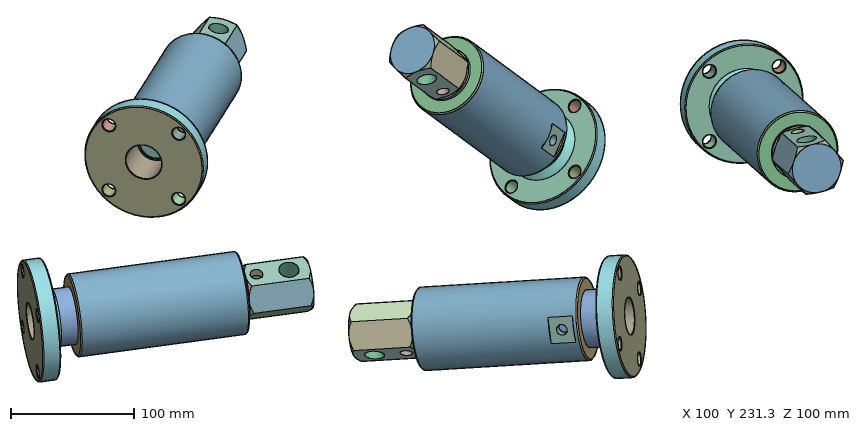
import cadquery as cq
import math

TOTAL_LENGTH = 231.3

FLANGE_RADIUS = 50.0
FLANGE_THICKNESS = 15.0
FLANGE_CHAMFER = 1.0
SLEEVE_RADIUS = 23.5
CONE_SIZE = 6.0
BORE_RADIUS = 15.0
BORE_CHAMFER = 0.5
BOLT_OFFSET = 29.4
BOLT_HOLE_RADIUS = 5.3
BOLT_HOLE_CHAMFER = 0.58

HOUSING_RADIUS = 34.0
HOUSING_START = 35.0
HOUSING_LENGTH = 140.2
HOUSING_END = HOUSING_START + HOUSING_LENGTH
HOUSING_CHAMFER = 1.2
FLAT_ANGLE = 207
FLAT_DISTANCE = 32.2
FLAT_LENGTH = 20.5
FLAT_CENTER = 49.3
FLAT_HOLE_RADIUS = 4.5

COLLAR_RADIUS = 22.2
COLLAR_LENGTH = 18.5
COLLAR_END = 177.6
COLLAR_START = COLLAR_END - COLLAR_LENGTH

ROD_RADIUS = 13.9
ROD_CHAMFER = 1.0
ROD_START = HOUSING_START
ROD_END = 199.0

HEX_SIDES = 6
HEX_FLATS = 41.0
HEX_CORNER_RADIUS = HEX_FLATS / math.sqrt(3)
HEX_END_RADIUS = HEX_FLATS / 2
HEX_TURN = -10
HEX_HOLE_ANGLE = HEX_TURN + 90
TOMMY_HOLE_RADIUS = 8.0
TOMMY_HOLE_CENTER = 214.0
PIN_HOLE_RADIUS = 5.0
PIN_HOLE_CENTER = 187.1


def turned(points):
    """Solid turned about Y from a closed outline of (radius, y) points."""
    return cq.Workplane("XY").polyline(points).close().revolve(360, (0, 0, 0), (0, 1, 0))


def turned_bar(radius, start, end, chamfer_start=0.0, chamfer_end=0.0):
    """Round bar along Y whose end edges may be chamfered at 45 degrees."""
    bar = turned([(0, start), (radius, start), (radius, end), (0, end)])
    if chamfer_start:
        bar = bar.faces("<Y").chamfer(chamfer_start)
    if chamfer_end:
        bar = bar.faces(">Y").chamfer(chamfer_end)
    return bar


def radial_direction(angle):
    """Unit vector square to Y, turned from +X towards +Z."""
    turn = math.radians(angle)
    return cq.Vector(math.cos(turn), 0, math.sin(turn))


def cross_hole(radius, y, angle):
    """Cutter for a hole through the axis, longer than any body is wide."""
    direction = radial_direction(angle)
    start = cq.Vector(0, y, 0) - direction * FLANGE_RADIUS
    return cq.Workplane(cq.Solid.makeCylinder(radius, 2 * FLANGE_RADIUS, start, direction))


def bolt_hole(x, z):
    """Cutter for a hole through the flange, chamfered at both faces."""
    mouth = BOLT_HOLE_RADIUS + BOLT_HOLE_CHAMFER
    hole = turned([
        (0, 0),
        (mouth, 0),
        (BOLT_HOLE_RADIUS, BOLT_HOLE_CHAMFER),
        (BOLT_HOLE_RADIUS, FLANGE_THICKNESS - BOLT_HOLE_CHAMFER),
        (mouth, FLANGE_THICKNESS),
        (0, FLANGE_THICKNESS),
    ])
    return hole.translate((x, 0, z))


def make_flange():
    """Bolting flange with a cone and a long sleeve that runs inside the housing."""
    disc = turned_bar(FLANGE_RADIUS, 0, FLANGE_THICKNESS, FLANGE_CHAMFER, FLANGE_CHAMFER)
    sleeve = turned([
        (0, 0),
        (SLEEVE_RADIUS + CONE_SIZE, 0),
        (SLEEVE_RADIUS + CONE_SIZE, FLANGE_THICKNESS),
        (SLEEVE_RADIUS, FLANGE_THICKNESS + CONE_SIZE),
        (SLEEVE_RADIUS, COLLAR_START),
        (0, COLLAR_START),
    ])
    bore = turned([
        (0, 0),
        (BORE_RADIUS + BORE_CHAMFER, 0),
        (BORE_RADIUS, BORE_CHAMFER),
        (BORE_RADIUS, COLLAR_START),
        (0, COLLAR_START),
    ])
    flange = disc.union(sleeve).cut(bore)
    for x in (-BOLT_OFFSET, BOLT_OFFSET):
        for z in (-BOLT_OFFSET, BOLT_OFFSET):
            flange = flange.cut(bolt_hole(x, z))
    return flange


def make_guide_bush():
    """Thin bush that fills the gap between the rod and the sleeve bore."""
    bush = turned_bar(BORE_RADIUS, ROD_START, COLLAR_START)
    return bush.cut(turned_bar(ROD_RADIUS, ROD_START, COLLAR_START))


def make_housing():
    """Tube with a short flat near the flange and a hole through the wall in that flat."""
    housing = turned_bar(HOUSING_RADIUS, HOUSING_START, HOUSING_END, HOUSING_CHAMFER, HOUSING_CHAMFER)
    housing = housing.cut(turned_bar(SLEEVE_RADIUS, HOUSING_START, COLLAR_START))
    housing = housing.cut(turned_bar(COLLAR_RADIUS, COLLAR_START, HOUSING_END))

    outward = radial_direction(FLAT_ANGLE)
    flat_plane = cq.Plane(
        origin=(outward * FLAT_DISTANCE + cq.Vector(0, FLAT_CENTER, 0)).toTuple(),
        xDir=(0, 1, 0),
        normal=outward.toTuple(),
    )
    flat = cq.Workplane(flat_plane).rect(FLAT_LENGTH, 2 * HOUSING_RADIUS).extrude(HOUSING_RADIUS)
    hole = cq.Workplane(flat_plane).circle(FLAT_HOLE_RADIUS).extrude(-FLAT_DISTANCE)
    return housing.cut(flat).cut(hole)


def make_collar():
    """Ring around the rod that closes the housing and carries the hexagonal head."""
    collar = turned_bar(COLLAR_RADIUS, COLLAR_START, COLLAR_END)
    return collar.cut(turned_bar(ROD_RADIUS, COLLAR_START, COLLAR_END))


def make_rod():
    """Rod from the flange bore into the hexagonal head, cross drilled for a pin."""
    rod = turned_bar(ROD_RADIUS, ROD_START, ROD_END, ROD_CHAMFER)
    return rod.cut(cross_hole(PIN_HOLE_RADIUS, PIN_HOLE_CENTER, HEX_HOLE_ANGLE))


def make_hex_head():
    """Hexagonal head with turned end chamfers, a rod socket and two cross holes."""
    corner_angles = [HEX_TURN + 360 / HEX_SIDES * i for i in range(HEX_SIDES)]
    corners = [radial_direction(angle) * HEX_CORNER_RADIUS for angle in corner_angles]
    length = TOTAL_LENGTH - COLLAR_END
    prism = (
        cq.Workplane("XZ", origin=(0, COLLAR_END, 0))
        .polyline([(corner.x, corner.z) for corner in corners])
        .close()
        .extrude(-length)
    )
    chamfer = HEX_CORNER_RADIUS - HEX_END_RADIUS
    head = prism.intersect(turned_bar(HEX_CORNER_RADIUS, COLLAR_END, TOTAL_LENGTH, chamfer, chamfer))
    head = head.cut(turned_bar(ROD_RADIUS, COLLAR_END, ROD_END))
    head = head.cut(cross_hole(TOMMY_HOLE_RADIUS, TOMMY_HOLE_CENTER, HEX_HOLE_ANGLE))
    return head.cut(cross_hole(PIN_HOLE_RADIUS, PIN_HOLE_CENTER, HEX_HOLE_ANGLE))


flange = make_flange()
guide_bush = make_guide_bush()
housing = make_housing()
collar = make_collar()
rod = make_rod()
hex_head = make_hex_head()

result = cq.Compound.makeCompound([
    flange.solids().val(),
    guide_bush.solids().val(),
    housing.solids().val(),
    collar.solids().val(),
    rod.solids().val(),
    hex_head.solids().val(),
])